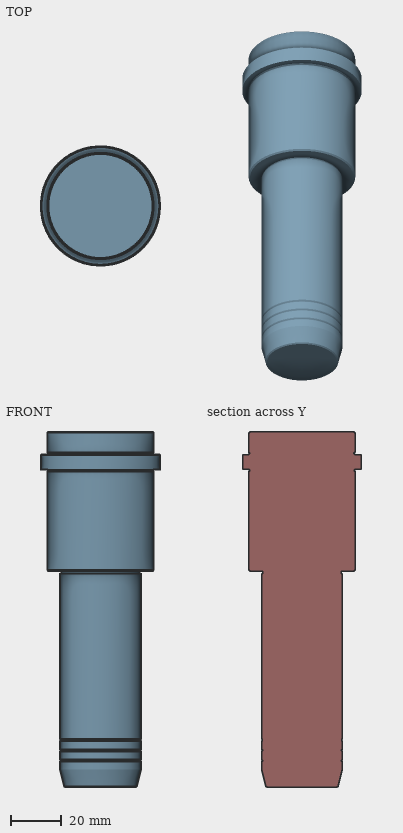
import cadquery as cq
import math

total_length = 140.0
body_length = 55.0
head_length = 9.0
flange_thickness = 6.0

flange_diameter = 47.0
body_diameter = 42.0
shank_diameter = 31.9

edge_chamfer = 0.5
flange_chamfer = 0.4
tip_chamfer = 0.4

relief_width = 0.8
relief_depth = 0.4
neck_depth = 0.4

taper_length = 7.0
taper_angle = 14.0
tip_groove_count = 3
tip_groove_pitch = 4.0
tip_groove_width = 1.0
tip_groove_depth = 0.35
first_groove_center = 10.5

body_bottom = total_length - body_length
flange_top = total_length - head_length
flange_bottom = flange_top - flange_thickness


def cylinder(diameter, bottom, top):
    """Vertical cylinder on the Z axis between two levels."""
    return cq.Workplane("XY").workplane(offset=bottom).circle(diameter / 2).extrude(top - bottom)


def groove(diameter, bottom, width, depth):
    """Ring that cuts a square-sided groove into a cylinder of the given diameter."""
    ring = cylinder(diameter, bottom, bottom + width)
    return ring.cut(cylinder(diameter - 2 * depth, bottom, bottom + width))


def v_groove(diameter, bottom, width, depth):
    """Ring that cuts a V groove into a cylinder of the given diameter."""
    radius = diameter / 2
    section = (
        cq.Workplane("XZ")
        .moveTo(radius, bottom)
        .lineTo(radius - depth, bottom + width / 2)
        .lineTo(radius, bottom + width)
        .close()
    )
    return section.revolve(360, (0, 0, 0), (0, 1, 0))


def make_shank():
    """Shank with a tapered tip and a broken end edge."""
    radius = shank_diameter / 2
    tip_radius = radius - taper_length * math.tan(math.radians(taper_angle))
    profile = (
        cq.Workplane("XZ")
        .moveTo(0, 0)
        .lineTo(tip_radius, 0)
        .lineTo(radius, taper_length)
        .lineTo(radius, body_bottom)
        .lineTo(0, body_bottom)
        .close()
    )
    shank = profile.revolve(360, (0, 0, 0), (0, 1, 0))
    shank = shank.faces("<Z").edges().chamfer(tip_chamfer)

    for index in range(tip_groove_count):
        center = first_groove_center + index * tip_groove_pitch
        bottom = center - tip_groove_width / 2
        shank = shank.cut(v_groove(shank_diameter, bottom, tip_groove_width, tip_groove_depth))

    neck_bottom = body_bottom - relief_width
    return shank.cut(groove(shank_diameter, neck_bottom, relief_width, neck_depth))


def make_body():
    """Guide body and head, with V-shaped relief grooves above and below the flange."""
    body = cylinder(body_diameter, body_bottom, total_length)
    body = body.faces("<Z or >Z").edges().chamfer(edge_chamfer)
    for bottom in (flange_top, flange_bottom - relief_width):
        body = body.cut(v_groove(body_diameter, bottom, relief_width, relief_depth))
    return body


def make_flange():
    """Collar with a broken upper edge."""
    flange = cylinder(flange_diameter, flange_bottom, flange_top)
    return flange.faces(">Z").edges().chamfer(flange_chamfer)


result = make_shank().union(make_body()).union(make_flange())